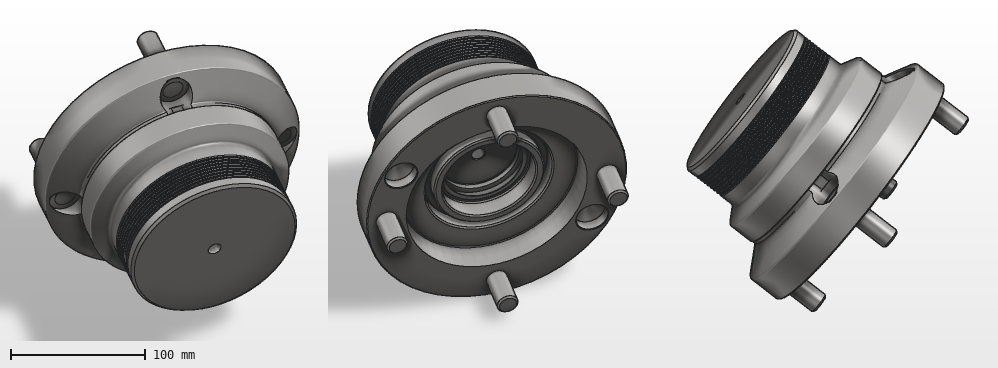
import cadquery as cq
import math

flange_radius = 101.0
flange_face_chamfer = 0.8
cone_angle = 60.0
shoulder_round = 2.0

rim_corner = 25.0
neck_radius = 78.4
neck_round = 1.6
joint_x = 41.8

socket_radius = 70.3
socket_taper = 1 / 8
taper_depth = 15.0
socket_depth = 19.5
socket_floor_chamfer = 0.8

bore_radius = 49.3
bore_chamfer = 1.2

sleeve_front = 18.4
sleeve_end = 32.1
sleeve_nose_radius = 42.8
sleeve_nose_chamfer = 1.2
sleeve_collar_front = 28.9
sleeve_collar_radius = 48.5
sleeve_collar_chamfer = 0.8
sleeve_root_chamfer = 0.8
sleeve_bore_radius = 36.2
sleeve_bore_chamfer = 1.2

bolt_circle_radius = 85.6
stud_count = 4
stud_radius = 8.0
stud_projection = 29.0
stud_chamfer = 1.5
counterbore_radius = 12.5
counterbore_floor = 26.3

blind_hole_radius = 12.3
blind_hole_depth = 8.5
blind_hole_chamfer = 0.6
drill_point_angle = 90.0
blind_hole_angles = (30.0, 210.0)

barrel_end = 114.0
collar_radius = 79.0
collar_front_chamfer = 0.6
collar_corner = 61.6
barrel_radius = 65.9
barrel_root_round = 3.6
barrel_end_chamfer = 2.0
spigot_radius = 74.0
spigot_face = 33.1

thread_start = 81.6
thread_pitch = 3.0
thread_count = 8
thread_depth = 0.6
thread_mouth = 2.5
thread_root = 0.8

mouth_floor = 34.3
ring_seat_radius = 34.1
ring_seat_floor = 42.2
well_radius = 30.0
well_floor = 46.9
well_floor_chamfer = 0.6
centre_hole_radius = 5.0
centre_hole_chamfer = 0.6

ring_inner_radius = 30.5
ring_front = 34.0
ring_thickness = 0.6


def revolved(profile):
    """Turn a closed profile, drawn as x along the axis and y as radius, around X."""
    return profile.close().revolve(360, (0, 0, 0), (1, 0, 0))


def cylinder(radius, start, end, y=0.0, z=0.0):
    """Cylinder along X from x = start to x = end."""
    return cq.Workplane("YZ", origin=(start, y, z)).circle(radius).extrude(end - start)


def on_bolt_circle(angle):
    """Y and Z of a point on the bolt circle, its angle taken from +Y toward +Z."""
    turn = math.radians(angle)
    return bolt_circle_radius * math.cos(turn), bolt_circle_radius * math.sin(turn)


def cone_length(drop):
    """Axial length over which a conical shoulder loses the given radius."""
    return drop / math.tan(math.radians(cone_angle))


def round_circles(body, radius_of_round, *circles):
    """Fillet the circular edges given as (x, radius) pairs."""
    for x, radius in circles:
        margin = 0.05
        near = cq.selectors.BoxSelector(
            (x - margin, -radius - margin, -radius - margin),
            (x + margin, radius + margin, radius + margin),
            boundingbox=True,
        )
        body = body.edges(near).edges("%CIRCLE").fillet(radius_of_round)
    return body


stud_places = [on_bolt_circle(360.0 / stud_count * i) for i in range(stud_count)]


def make_flange():
    cone_end = rim_corner + cone_length(flange_radius - neck_radius)
    outline = (
        cq.Workplane("XY")
        .moveTo(0, 0)
        .lineTo(0, flange_radius - flange_face_chamfer)
        .lineTo(flange_face_chamfer, flange_radius)
        .lineTo(rim_corner, flange_radius)
        .lineTo(cone_end, neck_radius)
        .lineTo(joint_x, neck_radius)
        .lineTo(joint_x, 0)
    )
    flange = revolved(outline)
    flange = round_circles(flange, shoulder_round, (rim_corner, flange_radius))
    flange = round_circles(flange, neck_round, (cone_end, neck_radius))

    flange = flange.cut(make_socket()).cut(make_bore())
    flange = flange.cut(cylinder(spigot_radius, spigot_face, joint_x))
    for y, z in stud_places:
        flange = flange.cut(cylinder(stud_radius, 0, counterbore_floor, y, z))
        flange = flange.cut(cylinder(counterbore_radius, counterbore_floor, joint_x, y, z))
    for angle in blind_hole_angles:
        flange = flange.cut(make_blind_hole().translate((0, *on_bolt_circle(angle))))
    return flange


def make_socket():
    inner_radius = socket_radius - socket_taper * taper_depth
    return revolved(
        cq.Workplane("XY")
        .moveTo(0, 0)
        .lineTo(0, socket_radius)
        .lineTo(taper_depth, inner_radius)
        .lineTo(socket_depth - socket_floor_chamfer, inner_radius)
        .lineTo(socket_depth, inner_radius - socket_floor_chamfer)
        .lineTo(socket_depth, 0)
    )


def make_bore():
    return revolved(
        cq.Workplane("XY")
        .moveTo(socket_depth, 0)
        .lineTo(socket_depth, bore_radius + bore_chamfer)
        .lineTo(socket_depth + bore_chamfer, bore_radius)
        .lineTo(spigot_face, bore_radius)
        .lineTo(spigot_face, 0)
    )


def make_blind_hole():
    point_length = blind_hole_radius / math.tan(math.radians(drill_point_angle / 2))
    return revolved(
        cq.Workplane("XY")
        .moveTo(0, 0)
        .lineTo(0, blind_hole_radius + blind_hole_chamfer)
        .lineTo(blind_hole_chamfer, blind_hole_radius)
        .lineTo(blind_hole_depth, blind_hole_radius)
        .lineTo(blind_hole_depth + point_length, 0)
    )


def make_sleeve():
    collar_edge_radius = sleeve_collar_radius - sleeve_collar_chamfer
    return revolved(
        cq.Workplane("XY")
        .moveTo(sleeve_front + sleeve_bore_chamfer, sleeve_bore_radius)
        .lineTo(sleeve_front, sleeve_bore_radius + sleeve_bore_chamfer)
        .lineTo(sleeve_front, sleeve_nose_radius - sleeve_nose_chamfer)
        .lineTo(sleeve_front + sleeve_nose_chamfer, sleeve_nose_radius)
        .lineTo(sleeve_collar_front - sleeve_root_chamfer, sleeve_nose_radius)
        .lineTo(sleeve_collar_front, sleeve_nose_radius + sleeve_root_chamfer)
        .lineTo(sleeve_collar_front, collar_edge_radius)
        .lineTo(sleeve_collar_front + sleeve_collar_chamfer, sleeve_collar_radius)
        .lineTo(sleeve_end, sleeve_collar_radius)
        .lineTo(sleeve_end, sleeve_bore_radius)
    )


def make_barrel():
    cone_end = collar_corner + cone_length(collar_radius - barrel_radius)
    outline = (
        cq.Workplane("XY")
        .moveTo(sleeve_end, 0)
        .lineTo(sleeve_end, bore_radius)
        .lineTo(spigot_face, bore_radius)
        .lineTo(spigot_face, spigot_radius)
        .lineTo(joint_x, spigot_radius)
        .lineTo(joint_x, collar_radius - collar_front_chamfer)
        .lineTo(joint_x + collar_front_chamfer, collar_radius)
        .lineTo(collar_corner, collar_radius)
        .lineTo(cone_end, barrel_radius)
        .lineTo(barrel_end - barrel_end_chamfer, barrel_radius)
        .lineTo(barrel_end, barrel_radius - barrel_end_chamfer)
        .lineTo(barrel_end, 0)
    )
    barrel = revolved(outline)
    barrel = round_circles(barrel, shoulder_round, (collar_corner, collar_radius))
    barrel = round_circles(barrel, barrel_root_round, (cone_end, barrel_radius))

    for i in range(thread_count):
        barrel = barrel.cut(make_thread_groove(thread_start + i * thread_pitch))
    return barrel.cut(make_pocket())


def make_thread_groove(start):
    flank = (thread_mouth - thread_root) / 2
    root_radius = barrel_radius - thread_depth
    return revolved(
        cq.Workplane("XY")
        .moveTo(start, barrel_radius)
        .lineTo(start + flank, root_radius)
        .lineTo(start + flank + thread_root, root_radius)
        .lineTo(start + thread_mouth, barrel_radius)
    )


def make_pocket():
    return revolved(
        cq.Workplane("XY")
        .moveTo(sleeve_end, 0)
        .lineTo(sleeve_end, sleeve_bore_radius)
        .lineTo(mouth_floor, sleeve_bore_radius)
        .lineTo(mouth_floor, ring_seat_radius)
        .lineTo(ring_seat_floor, ring_seat_radius)
        .lineTo(ring_seat_floor, well_radius)
        .lineTo(well_floor - well_floor_chamfer, well_radius)
        .lineTo(well_floor, well_radius - well_floor_chamfer)
        .lineTo(well_floor, centre_hole_radius + centre_hole_chamfer)
        .lineTo(well_floor + centre_hole_chamfer, centre_hole_radius)
        .lineTo(barrel_end, centre_hole_radius)
        .lineTo(barrel_end, 0)
    )


def make_ring():
    ring_end = ring_front + ring_thickness
    ring = cylinder(ring_seat_radius, ring_front, ring_end)
    return ring.cut(cylinder(ring_inner_radius, ring_front, ring_end))


def make_stud(y, z):
    stud = cylinder(stud_radius, -stud_projection, counterbore_floor, y, z)
    return stud.faces("<X").chamfer(stud_chamfer)


flange = make_flange()
sleeve = make_sleeve()
barrel = make_barrel()
ring = make_ring()
studs = [make_stud(y, z).val() for y, z in stud_places]

result = cq.Compound.makeCompound([flange.val(), sleeve.val(), barrel.val(), ring.val(), *studs])